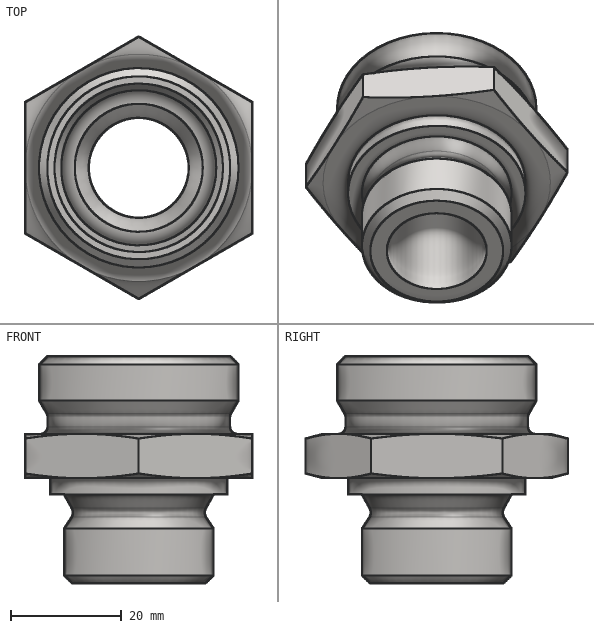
import cadquery as cq
import math

HEX_CORNERS = 47.35
HEX_INNER_RADIUS = HEX_CORNERS / 2 * math.cos(math.radians(30))
HEX_BOTTOM = 19.0
HEX_TOP = 27.0
HEX_CHAMFER_ANGLE = 15.0

STUD_RADIUS = 27.0 / 2
STUD_END_RADIUS = 12.0
STUD_CHAMFER_HEIGHT = 1.45
STUD_TOP = 9.9
GROOVE_EDGE_RADIUS = 12.1
GROOVE_RADIUS = 11.95
GROOVE_ARC_BOTTOM = 12.0
GROOVE_ARC_TOP = 13.6
COLLAR_RADIUS = 32.0 / 2
COLLAR_BOTTOM = 16.05

HEIGHT = 41.0
BODY_RADIUS = 36.0 / 2
BODY_END_RADIUS = 33.0 / 2
BODY_CHAMFER_HEIGHT = 1.5
BODY_BOTTOM = 33.0
NECK_RADIUS = 33.0 / 2
NECK_FILLET = 1.25
RELIEF_ANGLE = 30.0
RELIEF_FILLET = 0.95

BORE_RADIUS = 18.0 / 2
SEAT_RADIUS = 28.0 / 2
MOUTH_RADIUS = 15.2
MOUTH_DEPTH = 5.3
SEAT_DEPTH = 7.5
LEAD_IN_RADIUS = 11.55
LEAD_IN_SLOPE = 30.0


def slope(angle):
    return math.tan(math.radians(angle))


def revolve(profile):
    """Close a radius-height profile and turn it about the Z axis."""
    return profile.close().revolve(360, (0, 0, 0), (0, 1, 0))


def make_hexagon():
    """Hexagonal prism with both faces turned down to the inscribed circle."""
    corner_radius = HEX_CORNERS / 2
    drop = (corner_radius - HEX_INNER_RADIUS) * slope(HEX_CHAMFER_ANGLE)
    prism = (
        cq.Workplane("XY", origin=(0, 0, HEX_BOTTOM))
        .polygon(6, HEX_CORNERS)
        .extrude(HEX_TOP - HEX_BOTTOM)
        .rotate((0, 0, 0), (0, 0, 1), 30)
    )
    envelope = revolve(
        cq.Workplane("XZ")
        .moveTo(0, HEX_BOTTOM)
        .lineTo(HEX_INNER_RADIUS, HEX_BOTTOM)
        .lineTo(corner_radius, HEX_BOTTOM + drop)
        .lineTo(corner_radius, HEX_TOP - drop)
        .lineTo(HEX_INNER_RADIUS, HEX_TOP)
        .lineTo(0, HEX_TOP)
    )
    return prism.intersect(envelope)


def make_stud():
    """Lower stud with end chamfer, rounded undercut and sealing collar."""
    return revolve(
        cq.Workplane("XZ")
        .lineTo(STUD_END_RADIUS, 0)
        .lineTo(STUD_RADIUS, STUD_CHAMFER_HEIGHT)
        .lineTo(STUD_RADIUS, STUD_TOP)
        .lineTo(GROOVE_EDGE_RADIUS, GROOVE_ARC_BOTTOM)
        .threePointArc(
            (GROOVE_RADIUS, (GROOVE_ARC_BOTTOM + GROOVE_ARC_TOP) / 2),
            (GROOVE_EDGE_RADIUS, GROOVE_ARC_TOP),
        )
        .lineTo(STUD_RADIUS, COLLAR_BOTTOM)
        .lineTo(COLLAR_RADIUS, COLLAR_BOTTOM)
        .lineTo(COLLAR_RADIUS, HEX_BOTTOM)
        .lineTo(0, HEX_BOTTOM)
    )


def make_body():
    """Upper body with end chamfer and a filleted neck above the hexagon."""
    relief_height = (BODY_RADIUS - NECK_RADIUS) / slope(RELIEF_ANGLE)
    corner_z = BODY_BOTTOM - relief_height
    tangent = RELIEF_FILLET * slope(RELIEF_ANGLE / 2)
    arc_start = (
        NECK_RADIUS + tangent * math.sin(math.radians(RELIEF_ANGLE)),
        corner_z + tangent * math.cos(math.radians(RELIEF_ANGLE)),
    )
    arc_end = (NECK_RADIUS, corner_z - tangent)
    half_angle = math.radians(RELIEF_ANGLE / 2)
    arc_middle = (
        NECK_RADIUS + RELIEF_FILLET * (1 - math.cos(half_angle)),
        arc_end[1] + RELIEF_FILLET * math.sin(half_angle),
    )
    fillet_offset = NECK_FILLET * (1 - math.cos(math.radians(45)))
    return revolve(
        cq.Workplane("XZ")
        .moveTo(0, HEIGHT)
        .lineTo(BODY_END_RADIUS, HEIGHT)
        .lineTo(BODY_RADIUS, HEIGHT - BODY_CHAMFER_HEIGHT)
        .lineTo(BODY_RADIUS, BODY_BOTTOM)
        .lineTo(*arc_start)
        .threePointArc(arc_middle, arc_end)
        .lineTo(NECK_RADIUS, HEX_TOP + NECK_FILLET)
        .threePointArc(
            (NECK_RADIUS + fillet_offset, HEX_TOP + fillet_offset),
            (NECK_RADIUS + NECK_FILLET, HEX_TOP),
        )
        .lineTo(0, HEX_TOP)
    )


def make_bore():
    """Through bore with a lead-in cone, a flat seat and a tapered mouth."""
    seat_z = HEIGHT - SEAT_DEPTH
    lead_in_depth = (LEAD_IN_RADIUS - BORE_RADIUS) * slope(LEAD_IN_SLOPE)
    return revolve(
        cq.Workplane("XZ")
        .lineTo(BORE_RADIUS, 0)
        .lineTo(BORE_RADIUS, seat_z - lead_in_depth)
        .lineTo(LEAD_IN_RADIUS, seat_z)
        .lineTo(SEAT_RADIUS, seat_z)
        .lineTo(SEAT_RADIUS, HEIGHT - MOUTH_DEPTH)
        .lineTo(MOUTH_RADIUS, HEIGHT)
        .lineTo(0, HEIGHT)
    )


result = make_hexagon().union(make_stud()).union(make_body()).cut(make_bore())